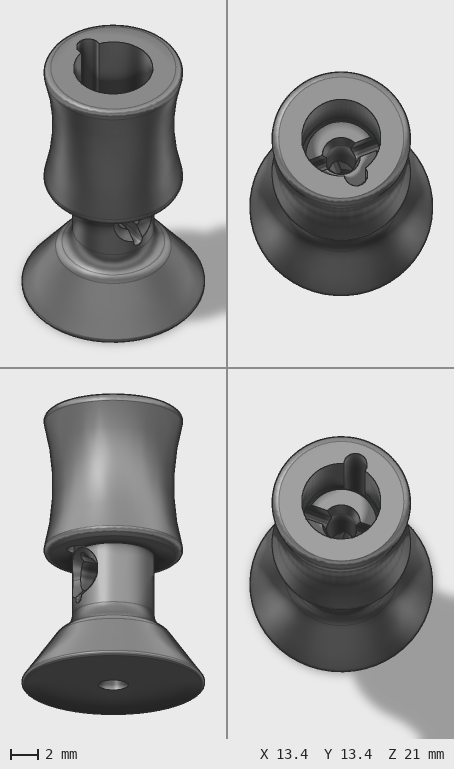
import cadquery as cq
import math

stem_radius = 3.0
stem_top = 15.5
stem_edge_bevel = 0.4
end_bevel_depth = 1.2
base_radius = 6.715
rim_radius = 0.22
cone_angle = math.radians(36)
blend_radius = 1.5
cone_top = 3.69

bore_radius = 1.1
bore_mouth_bevel = 0.3
groove_width = 1.1
groove_depth = 1.8
cross_hole_radius = 1.2
cross_hole_chamfer = 0.68
cross_hole_height = 8.2
edge_margin = 0.1
slot_width = 0.8
slot_bottom = 5.85
slot_top = 9.8

sleeve_bottom = 10.0
sleeve_top = 21.0
sleeve_end_radius = 5.25
waist_radius = 4.44
sleeve_bore_radius = 2.9
sleeve_edge_fillet = 0.5
keyway_radius = 0.85


def polar(center, radius, angle):
    """Point on a circle in the radius-height plane."""
    return (center[0] + radius * math.cos(angle), center[1] + radius * math.sin(angle))


def stem_blank():
    """Revolved outline: rounded rim, cone, S-shaped blend and straight stem."""
    rim_center = (base_radius - rim_radius, rim_radius)
    cone_start = polar(rim_center, rim_radius, cone_angle)
    cone_end = (cone_start[0] - (cone_top - cone_start[1]) * math.tan(cone_angle), cone_top)

    shoulder_center = polar(cone_end, -blend_radius, cone_angle)
    neck_center_radius = stem_radius + blend_radius
    join_angle = math.acos((neck_center_radius - shoulder_center[0]) / (2 * blend_radius))
    neck_center = polar(shoulder_center, 2 * blend_radius, join_angle)
    join = polar(shoulder_center, blend_radius, join_angle)
    shoulder_middle = polar(shoulder_center, blend_radius, (cone_angle + join_angle) / 2)
    neck_middle = polar(neck_center, -blend_radius, join_angle / 2)

    rim_middle = polar(rim_center, rim_radius, (cone_angle - math.pi / 2) / 2)
    return (
        cq.Workplane("XZ")
        .lineTo(rim_center[0], 0)
        .threePointArc(rim_middle, cone_start)
        .lineTo(*cone_end)
        .threePointArc(shoulder_middle, join)
        .threePointArc(neck_middle, (stem_radius, neck_center[1]))
        .lineTo(stem_radius, stem_top - end_bevel_depth)
        .lineTo(stem_radius - stem_edge_bevel, stem_top)
        .lineTo(0, stem_top)
        .close()
        .revolve(360, (0, 0, 0), (0, 1, 0))
    )


def cut_cross_hole(body):
    """Cut the hole along X through the stem and chamfer both mouths."""
    hole = (
        cq.Workplane("YZ", origin=(0, 0, cross_hole_height))
        .circle(cross_hole_radius)
        .extrude(2 * stem_radius, both=True)
    )
    body = body.cut(hole)
    reach = cross_hole_radius + edge_margin
    for side in (-1, 1):
        inner_corner = (side * stem_radius / 2, -reach, cross_hole_height - reach)
        outer_corner = (side * (stem_radius + edge_margin), reach, cross_hole_height + reach)
        mouth = cq.selectors.BoxSelector(inner_corner, outer_corner, boundingbox=True)
        body = body.edges(mouth).chamfer(cross_hole_chamfer)
    return body


def bore_cutter():
    """Axial bore that flares out steeply at the top end of the stem."""
    return (
        cq.Workplane("XZ")
        .lineTo(bore_radius, 0)
        .lineTo(bore_radius, stem_top - end_bevel_depth)
        .lineTo(bore_radius + bore_mouth_bevel, stem_top)
        .lineTo(0, stem_top)
        .close()
        .revolve(360, (0, 0, 0), (0, 1, 0))
    )


def make_stem():
    stem = cut_cross_hole(stem_blank()).cut(bore_cutter())

    groove = (
        cq.Workplane("XZ", origin=(0, 0, stem_top))
        .slot2D(2 * groove_depth, groove_width, 90)
        .extrude(2 * stem_radius, both=True)
    )

    slot = (
        cq.Workplane("YZ", origin=(0, 0, (slot_bottom + slot_top) / 2))
        .slot2D(slot_top - slot_bottom, slot_width, 90)
        .extrude(2 * stem_radius, both=True)
    )
    return stem.cut(groove).cut(slot)


def make_sleeve():
    middle = (sleeve_bottom + sleeve_top) / 2
    length = sleeve_top - sleeve_bottom

    body = (
        cq.Workplane("XZ")
        .moveTo(0, sleeve_bottom)
        .lineTo(sleeve_end_radius, sleeve_bottom)
        .threePointArc((waist_radius, middle), (sleeve_end_radius, sleeve_top))
        .lineTo(0, sleeve_top)
        .close()
        .revolve(360, (0, 0, 0), (0, 1, 0))
        .faces("<Z or >Z")
        .edges()
        .fillet(sleeve_edge_fillet)
    )

    end = cq.Workplane("XY", origin=(0, 0, sleeve_bottom))
    bore = end.circle(sleeve_bore_radius).extrude(length)
    keyway = end.center(-stem_radius, 0).circle(keyway_radius).extrude(length)
    seat = end.circle(stem_radius).extrude(stem_top - sleeve_bottom)
    return body.cut(bore).cut(keyway).cut(seat)


stem = make_stem()
sleeve = make_sleeve()
result = cq.Compound.makeCompound([stem.val(), sleeve.val()])